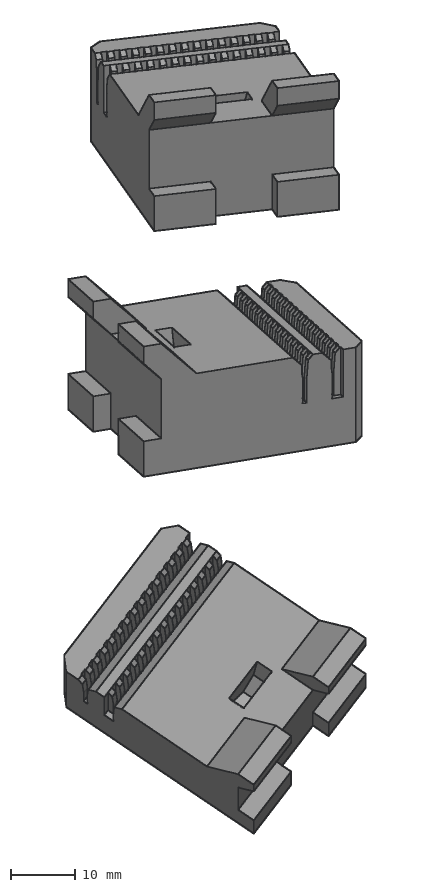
import cadquery as cq
import math

length = 37.95
width = 30.0
body_height = 16.0
total_height = 22.0
end_chamfer_x = 1.9
end_chamfer_y = 2.0

back_width = 10.0
back_reach = 3.0
foot_height = 6.0
hook_tip_height = 3.0

first_slot_x = 5.25
slot_pitch = 5.0
slot_width = 0.7
slot_depth = 8.0
taper_depth = slot_depth / 2
taper_angle = 4.5
tooth_chamfer = 0.8
plain_chamfer = 1.48
first_notch_setback = 0.15
notch_count = 15
notch_width = width / (2 * notch_count)

pocket_x = 26.53
pocket_size_x = 2.8
pocket_size_y = 7.5
pocket_floor_y = 5.5
pocket_end_angle = 15.0
pocket_floor_angle = 30.0


def tangent(angle):
    return math.tan(math.radians(angle))


def extrude_across(points):
    """Extrude an XZ outline over the full width of the block."""
    return cq.Workplane("XZ").polyline(points).close().extrude(width / 2, both=True)


def make_block():
    back_x = length - back_reach
    hook_rise = total_height - body_height
    hook_tip_z = total_height - hook_tip_height
    outline = [
        (0, 0),
        (length, 0),
        (length, foot_height),
        (back_x, foot_height),
        (back_x, hook_tip_z - back_reach),
        (length, hook_tip_z),
        (length, total_height),
        (back_x, total_height),
        (back_x - hook_rise, body_height),
        (0, body_height),
    ]
    block = extrude_across(outline)

    for side in (-1, 1):
        corner_y = side * width / 2
        bevel = cq.Workplane("XY").polyline([
            (0, corner_y),
            (end_chamfer_x, corner_y),
            (0, corner_y - side * end_chamfer_y),
        ]).close().extrude(body_height)
        block = block.cut(bevel)

    gap_width = width - 2 * back_width
    foot_gap = cq.Workplane("XY").box(
        back_reach, gap_width, total_height, centered=(False, True, False)
    ).translate((back_x, 0, 0))
    hook_gap = cq.Workplane("XY").box(
        length, gap_width, hook_rise, centered=(False, True, False)
    ).translate((0, 0, body_height))
    return block.cut(foot_gap).cut(hook_gap)


def make_slot(left_x, first_notch_y, notch_setback):
    """Tapered slot with square notches between the teeth of its left wall."""
    right_x = left_x + slot_width
    floor_z = body_height - slot_depth
    taper_z = body_height - taper_depth
    left_top_x = left_x - (taper_depth - tooth_chamfer) * tangent(taper_angle)
    right_top_x = right_x + (taper_depth - plain_chamfer) * tangent(taper_angle)
    tooth_edge_x = left_top_x - tooth_chamfer
    slot = extrude_across([
        (left_x, floor_z),
        (right_x, floor_z),
        (right_x, taper_z),
        (right_top_x, body_height - plain_chamfer),
        (right_top_x + plain_chamfer, body_height),
        (tooth_edge_x, body_height),
        (left_top_x, body_height - tooth_chamfer),
        (left_x, taper_z),
    ])

    notch_x = tooth_edge_x - notch_setback
    for index in range(notch_count):
        notch = cq.Workplane("XY").box(
            right_x - notch_x, notch_width, slot_depth, centered=False
        ).translate((notch_x, first_notch_y + 2 * index * notch_width, floor_z))
        slot = slot.union(notch)
    return slot


def make_pocket():
    half_top = pocket_size_y / 2
    half_floor = pocket_floor_y / 2
    floor_edge_z = body_height - (half_top - half_floor) / tangent(pocket_end_angle)
    valley_z = floor_edge_z - half_floor * tangent(pocket_floor_angle)
    outline = [
        (-half_top, body_height),
        (-half_floor, floor_edge_z),
        (0, valley_z),
        (half_floor, floor_edge_z),
        (half_top, body_height),
    ]
    pocket = cq.Workplane("YZ").polyline(outline).close().extrude(pocket_size_x / 2, both=True)
    return pocket.translate((pocket_x, 0, 0))


first_slot = make_slot(first_slot_x, -width / 2 + notch_width, first_notch_setback)
second_slot = make_slot(first_slot_x + slot_pitch, -width / 2, 0)

result = make_block().cut(first_slot).cut(second_slot).cut(make_pocket())